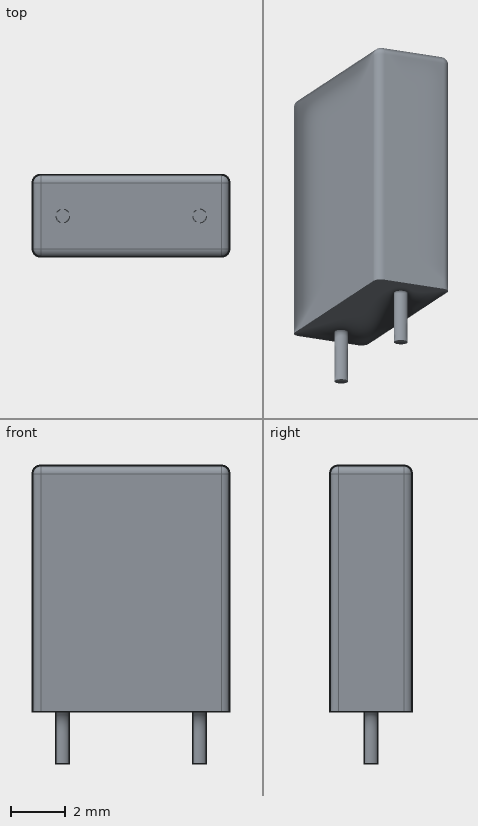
import cadquery as cq

case_width = 7.2
case_depth = 3.0
case_height = 9.0
edge_radius = 0.3

lead_diameter = 0.5
lead_pitch = 5.0
lead_length = 1.9


def make_case():
    """Box with rounded vertical and top edges and a sharp bottom rim."""
    box = cq.Workplane("XY").box(case_width, case_depth, case_height, centered=(True, True, False))
    return box.edges("|Z or >Z").fillet(edge_radius)


def make_lead(x_position):
    """Straight round lead hanging from the underside of the case."""
    return cq.Workplane("XY").center(x_position, 0).circle(lead_diameter / 2).extrude(-lead_length)


result = make_case()
for side in (-1, 1):
    result = result.union(make_lead(side * lead_pitch / 2))